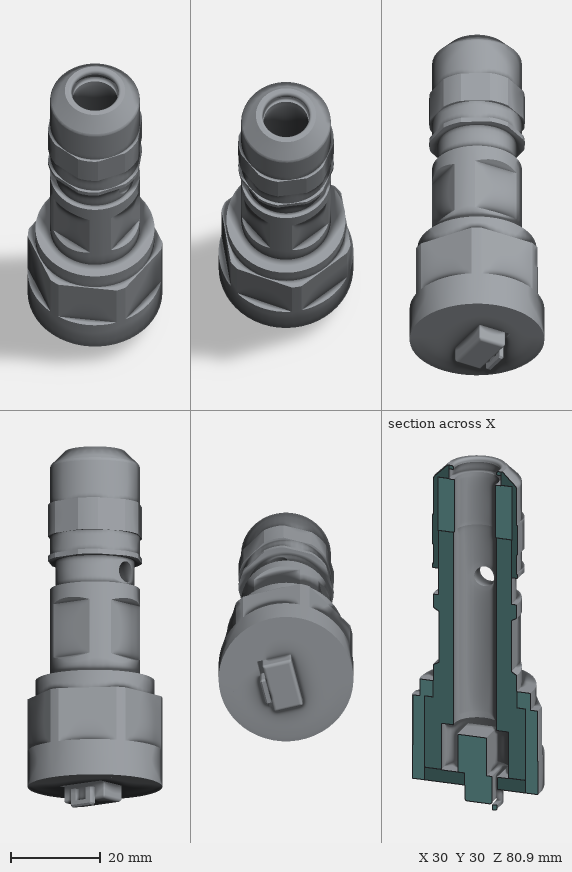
import cadquery as cq
import math


total_top = 75.85

nut_radius = 15.0
nut_hex_flats = 27.0
nut_hex_bottom = 8.0
nut_hex_top = 20.0
nut_top = 24.0
nut_collar_radius = 13.25
nut_bore_radius = 12.0

housing_radius = 10.0
housing_bore_radius = 5.2
shoulder_top = 44.65
neck_radius = 8.8
neck_top = 60.0
flat_bottom = 28.55
flat_top = 40.65
flat_flare = 0.8
flat_distance_x = 8.5
flat_distance_y = 8.65
plug_chamber_radius = 8.0
plug_chamber_top = 14.0
cross_hole_radius = 2.35
cross_hole_height = 47.7

cap_bottom = 50.85
cap_ring_top = 51.95
cap_hex_bottom = 56.4
cap_hex_top = 63.6
cap_radius = 10.0
cap_hex_flats = 20.25
cap_hex_corner_radius = 10.63
cap_hex_turn = -1.4
cap_mouth_outer_radius = 6.7
cap_mouth_radius = 6.25
cap_edge_fillet = 0.9

insert_depth = 3.3
insert_top = total_top - insert_depth
insert_bore_radius = 5.0
ring_thickness = 1.0
ring_bore_radius = 5.2
ring_edge_fillet = 0.6

carrier_thickness = 3.0
plug_half_width = 5.65
plug_front = -4.07
plug_back = 2.5
plug_bottom = -3.7
plug_bottom_fillet = 0.7
plug_side_fillet = 0.3
plug_block_front = -2.8
plug_block_back = 4.15
plug_block_top = 12.0
latch_half_width = 3.05
latch_front = -5.3
latch_top = -1.0
latch_bottom = -5.02
latch_chamfer = 0.4
latch_slot_half_width = 1.4


def cylinder(radius, bottom, top):
    return cq.Workplane("XY").workplane(offset=bottom).circle(radius).extrude(top - bottom)


def hex_prism(flats, bottom, top, turn):
    """Hexagonal prism; at zero turn two corners lie on the X axis."""
    corner_diameter = flats / math.cos(math.pi / 6)
    prism = cq.Workplane("XY").workplane(offset=bottom).polygon(6, corner_diameter).extrude(top - bottom)
    return prism.rotate((0, 0, 0), (0, 0, 1), turn)


def box(x_range, y_range, z_range):
    size = [high - low for low, high in (x_range, y_range, z_range)]
    corner = (x_range[0], y_range[0], z_range[0])
    return cq.Workplane("XY").box(*size, centered=False).translate(corner)


def make_coupling_nut():
    nut = cylinder(nut_radius, 0, nut_hex_bottom)
    hexagon = hex_prism(nut_hex_flats, nut_hex_bottom, nut_hex_top, 90)
    nut = nut.union(hexagon.intersect(cylinder(nut_radius, nut_hex_bottom, nut_hex_top)))
    nut = nut.union(cylinder(nut_collar_radius, nut_hex_top, nut_top))
    nut = nut.cut(cylinder(nut_bore_radius, 0, nut_hex_top))
    return nut.cut(cylinder(housing_radius, nut_hex_top, nut_top))


def flat_cutter(distance, turn):
    """Trapezoidal prism that mills one flat with sloped ends, turned about Z."""
    outer = housing_radius + (housing_radius - distance)
    flare = 2 * flat_flare
    return (
        cq.Workplane("XZ")
        .moveTo(distance, flat_bottom)
        .lineTo(outer, flat_bottom - flare)
        .lineTo(outer, flat_top + flare)
        .lineTo(distance, flat_top)
        .close()
        .extrude(housing_radius, both=True)
        .rotate((0, 0, 0), (0, 0, 1), turn)
    )


def make_housing():
    housing = cylinder(nut_bore_radius, carrier_thickness, nut_hex_top)
    housing = housing.union(cylinder(housing_radius, nut_hex_top, shoulder_top))
    housing = housing.union(cylinder(neck_radius, shoulder_top, neck_top))
    for side, distance in enumerate([flat_distance_x, flat_distance_y] * 2):
        housing = housing.cut(flat_cutter(distance, 90 * side))
    housing = housing.cut(cylinder(housing_bore_radius, carrier_thickness, neck_top))
    housing = housing.cut(cylinder(plug_chamber_radius, carrier_thickness, plug_chamber_top))
    cross_hole = (
        cq.Workplane("YZ").center(0, cross_hole_height).circle(cross_hole_radius).extrude(housing_radius)
    )
    return housing.cut(cross_hole)


def make_cap():
    cone_height = cap_radius - cap_mouth_outer_radius
    cap = (
        cylinder(cap_radius, cap_bottom, total_top)
        .faces(">Z").chamfer(cone_height)
        .faces("%CONE").edges(cq.selectors.RadiusNthSelector(-1))
        .fillet(cap_edge_fillet)
    )
    for bottom, top in ((cap_bottom, cap_ring_top), (cap_hex_bottom, cap_hex_top)):
        hexagon = hex_prism(cap_hex_flats, bottom, top, cap_hex_turn)
        cap = cap.union(hexagon.intersect(cylinder(cap_hex_corner_radius, bottom, top)))
    cap = cap.cut(cylinder(neck_radius, cap_bottom, insert_top))
    return cap.cut(cylinder(cap_mouth_radius, insert_top, total_top))


def make_seal_insert():
    insert = cylinder(neck_radius, neck_top, insert_top)
    return insert.cut(cylinder(insert_bore_radius, neck_top, insert_top))


def make_mouth_ring():
    bottom = total_top - ring_thickness
    ring = cylinder(cap_mouth_radius, bottom, total_top)
    ring = ring.cut(cylinder(ring_bore_radius, bottom, total_top))
    return ring.faces(">Z").edges(cq.selectors.RadiusNthSelector(0)).fillet(ring_edge_fillet)


def make_carrier():
    carrier = cylinder(nut_bore_radius, 0, carrier_thickness)
    opening = box(
        (-plug_half_width, plug_half_width), (latch_front, plug_back), (0, carrier_thickness)
    )
    return carrier.cut(opening)


def make_latch():
    """U-shaped catch on the plug's -Y face, its two prongs pointing up."""
    latch = box(
        (-latch_half_width, latch_half_width), (latch_front, plug_front), (latch_bottom, latch_top)
    )
    latch = latch.edges("|Y and <Z").chamfer(latch_chamfer)
    latch = latch.faces("<Y").edges("not >Z").chamfer(latch_chamfer)
    slot = box(
        (-latch_slot_half_width, latch_slot_half_width),
        (latch_front, plug_front),
        (plug_bottom, latch_top),
    )
    return latch.cut(slot)


def make_plug():
    width = (-plug_half_width, plug_half_width)
    plug = box(width, (plug_front, plug_back), (plug_bottom, carrier_thickness))
    plug = plug.edges("<Z").fillet(plug_bottom_fillet).edges("|Z").fillet(plug_side_fillet)
    block = box(width, (plug_block_front, plug_block_back), (carrier_thickness, plug_block_top))
    return plug.union(block).union(make_latch())


coupling_nut = make_coupling_nut()
housing = make_housing()
cap = make_cap()
seal_insert = make_seal_insert()
mouth_ring = make_mouth_ring()
carrier = make_carrier()
plug = make_plug()

result = cq.Compound.makeCompound([
    coupling_nut.val(),
    housing.val(),
    cap.val(),
    seal_insert.val(),
    mouth_ring.val(),
    carrier.val(),
    plug.val(),
])